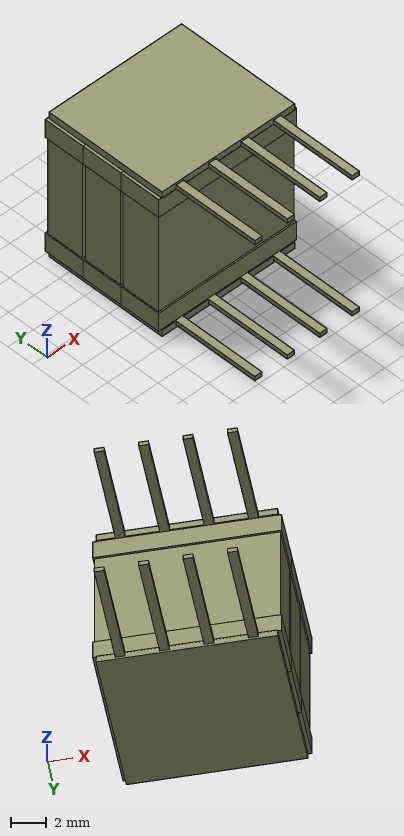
import cadquery as cq

cap_count = 3
cap_height = 10.18
terminal_width = 10.8
terminal_depth = 3.05
terminal_height = 1.39
ceramic_width = 10.63
ceramic_depth = 2.84

overall_depth = 15.59
plate_width = 10.38
plate_depth = 9.14
plate_thickness = 0.5
plate_setback = 0.101
pin_count = 4
pin_pitch = 2.54
pin_width = 0.56
pin_thickness = 0.33

stack_back = cap_count * terminal_depth / 2
plate_back = stack_back - plate_setback
plate_front = plate_back - plate_depth
pin_length = overall_depth - plate_setback - plate_depth

TOP = 1
BOTTOM = -1


def centred_position(index, count, pitch):
    """Position of one item in an evenly spaced row centred on zero."""
    return (index - (count - 1) / 2) * pitch


def make_capacitor(index):
    """Ceramic block with a wider terminal around its top and bottom ends."""
    y = centred_position(index, cap_count, terminal_depth)
    terminal_z = (cap_height - terminal_height) / 2
    capacitor = cq.Workplane("XY").box(ceramic_width, ceramic_depth, cap_height)
    for side in (BOTTOM, TOP):
        terminal = cq.Workplane("XY").box(terminal_width, terminal_depth, terminal_height)
        capacitor = capacitor.union(terminal.translate((0, 0, side * terminal_z)))
    return capacitor.translate((0, y, 0))


def make_lead_frame(side):
    """Plate lying on the terminals, with pins flush with the plate face that meets them."""
    plate_y = plate_back - plate_depth / 2
    plate_z = side * (cap_height + plate_thickness) / 2
    pin_y = plate_front - pin_length / 2
    pin_z = side * (cap_height + pin_thickness) / 2
    frame = cq.Workplane("XY").box(plate_width, plate_depth, plate_thickness)
    frame = frame.translate((0, plate_y, plate_z))
    for index in range(pin_count):
        pin_x = centred_position(index, pin_count, pin_pitch)
        pin = cq.Workplane("XY").box(pin_width, pin_length, pin_thickness)
        frame = frame.union(pin.translate((pin_x, pin_y, pin_z)))
    return frame


def make_carrier(index):
    """Bottom lead frame in one piece with the capacitor that stands on its middle."""
    return make_lead_frame(BOTTOM).union(make_capacitor(index))


middle = cap_count // 2
carrier = make_carrier(middle)
outer_capacitors = [make_capacitor(index) for index in range(cap_count) if index != middle]
top_lead_frame = make_lead_frame(TOP)

bodies = [carrier, *outer_capacitors, top_lead_frame]
result = cq.Compound.makeCompound([body.solids().val() for body in bodies])